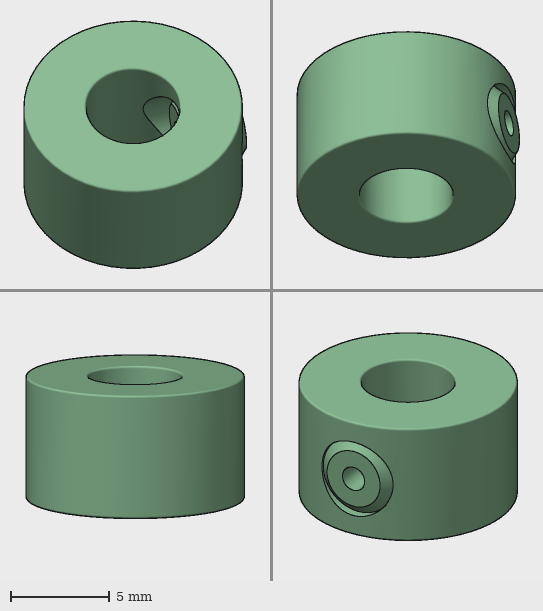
import cadquery as cq

collar_diameter = 11.11
collar_height = 6.35
bore_diameter = 4.77
edge_radius = 0.11

screw_diameter = 4.17
screw_end_diameter = 3.11
screw_bore_diameter = 1.3

collar_radius = collar_diameter / 2
bore_radius = bore_diameter / 2
screw_length = collar_radius - bore_radius
screw_chamfer = (screw_diameter - screw_end_diameter) / 2


def cylinder_along_y(diameter, start, length):
    """Cylinder on the Y axis, running from Y = start towards +Y."""
    plane = cq.Plane(origin=(0, start, 0), xDir=(-1, 0, 0), normal=(0, 1, 0))
    return cq.Workplane(plane).circle(diameter / 2).extrude(length)


def make_collar():
    """Ring with rounded edges and a radial screw hole through its +Y wall."""
    ring = (
        cq.Workplane("XY")
        .circle(collar_radius)
        .circle(bore_radius)
        .extrude(collar_height)
        .translate((0, 0, -collar_height / 2))
        .faces("<Z or >Z")
        .edges()
        .fillet(edge_radius)
    )
    return ring.cut(cylinder_along_y(screw_diameter, 0, collar_diameter))


def make_set_screw():
    """Plain screw body, chamfered at both ends, with a round hole right through."""
    body = cylinder_along_y(screw_diameter, bore_radius, screw_length)
    body = body.faces("<Y or >Y").edges().chamfer(screw_chamfer)
    return body.cut(cylinder_along_y(screw_bore_diameter, bore_radius, screw_length))


collar = make_collar()
set_screw = make_set_screw()

result = cq.Compound.makeCompound([collar.val(), set_screw.val()])